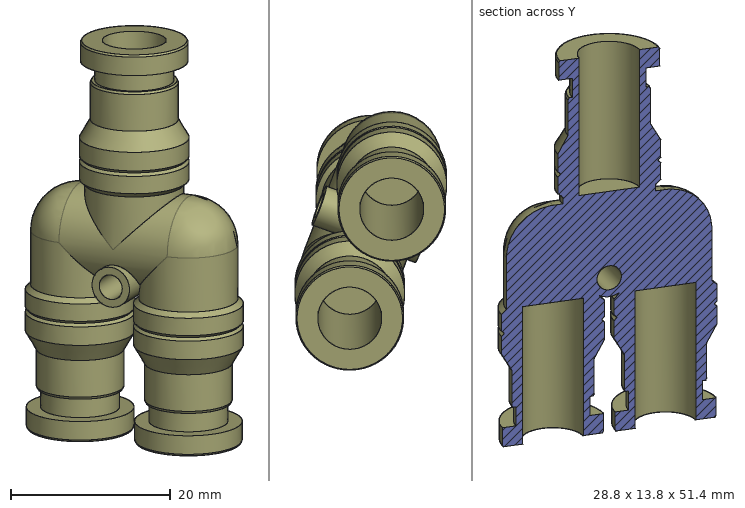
import cadquery as cq

height = 51.4
band_diameter = 13.8
width = 28.8
leg_offset = (width - band_diameter) / 2
center_z = height / 2
tube_diameter = 12.45
tube_radius = tube_diameter / 2

flange_diameter = 13.5
neck_diameter = 9.9
barrel_diameter = 11.05
groove_diameter = 13.05
bore_diameter = 8.0

flange_end = 2.65
neck_end = 5.2
barrel_end = 10.3
cone_end = 12.65
groove_center = 15.4
groove_half_width = 0.35
collar_end = 18.05
collar_chamfer_length = 0.6
bore_depth = collar_end + collar_chamfer_length

flange_chamfer_width = 0.15
flange_chamfer_length = 0.25
barrel_chamfer_width = 0.15
barrel_chamfer_length = 0.3

eyelet_diameter = 5.2
eyelet_hole_diameter = 3.2
eyelet_length = band_diameter
eyelet_z = center_z - 4.75


def port_solid():
    """Upper port revolved about Z, running from the tube center to its open end."""
    flange_radius = flange_diameter / 2
    neck_radius = neck_diameter / 2
    barrel_radius = barrel_diameter / 2
    band_radius = band_diameter / 2
    profile = [
        (0, 0),
        (flange_radius - flange_chamfer_width, 0),
        (flange_radius, flange_chamfer_length),
        (flange_radius, flange_end),
        (neck_radius, flange_end),
        (neck_radius, neck_end),
        (barrel_radius - barrel_chamfer_width, neck_end),
        (barrel_radius, neck_end + barrel_chamfer_length),
        (barrel_radius, barrel_end),
        (band_radius, cone_end),
        (band_radius, groove_center - groove_half_width),
        (groove_diameter / 2, groove_center),
        (band_radius, groove_center + groove_half_width),
        (band_radius, collar_end),
        (tube_radius, collar_end + collar_chamfer_length),
        (tube_radius, center_z),
        (0, center_z),
    ]
    points = [(radius, height - depth) for radius, depth in profile]
    return cq.Workplane("XZ").polyline(points).close().revolve(360, (0, 0), (0, 1))


def port_bore():
    """Blind bore cut into the upper port."""
    return (
        cq.Workplane("XY")
        .workplane(offset=height - bore_depth)
        .circle(bore_diameter / 2)
        .extrude(bore_depth)
    )


def turned_down(shape, x):
    """Flip an upper-port shape about the tube center and move it to a leg."""
    return shape.mirror("XY", (0, 0, center_z)).translate((x, 0, 0))


def left_elbow():
    """Quarter sphere filling the outer upper corner between the tube and the left leg."""
    return (
        cq.Workplane("XY")
        .moveTo(0, tube_radius)
        .threePointArc((-tube_radius, 0), (0, -tube_radius))
        .close()
        .revolve(90, (0, 0), (0, 1))
        .translate((-leg_offset, 0, center_z))
    )


def y_cylinder(diameter):
    """Cylinder along Y at the eyelet, centered on the part."""
    return (
        cq.Workplane("XZ")
        .center(0, eyelet_z)
        .circle(diameter / 2)
        .extrude(eyelet_length / 2, both=True)
    )


body = (
    cq.Workplane("YZ")
    .center(0, center_z)
    .circle(tube_radius)
    .extrude(leg_offset, both=True)
)
body = body.union(port_solid())
for leg_x in (-leg_offset, leg_offset):
    body = body.union(turned_down(port_solid(), leg_x))
body = body.union(left_elbow()).union(left_elbow().mirror("YZ"))
body = body.union(y_cylinder(eyelet_diameter))

body = body.cut(port_bore())
for leg_x in (-leg_offset, leg_offset):
    body = body.cut(turned_down(port_bore(), leg_x))

result = body.cut(y_cylinder(eyelet_hole_diameter))